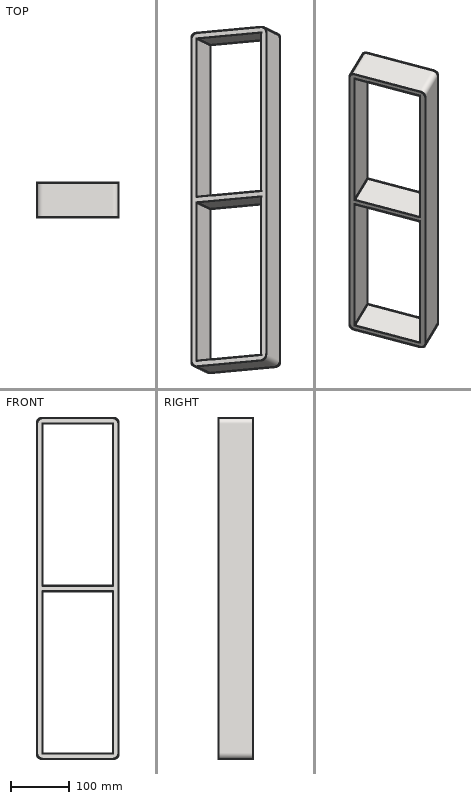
import cadquery as cq

width = 140.5
depth = 60.0
height = 586.0

wall = 10.0
corner_radius = wall

opening_width = width - 2 * wall
opening_height = (height - 3 * wall) / 2
opening_offset = (opening_height + wall) / 2

frame = cq.Workplane("XY").box(width, depth, height)
frame = frame.edges("|Y").fillet(corner_radius)

for side in (-1, 1):
    opening = cq.Workplane("XY").box(opening_width, depth, opening_height)
    frame = frame.cut(opening.translate((0, 0, side * opening_offset)))

result = frame